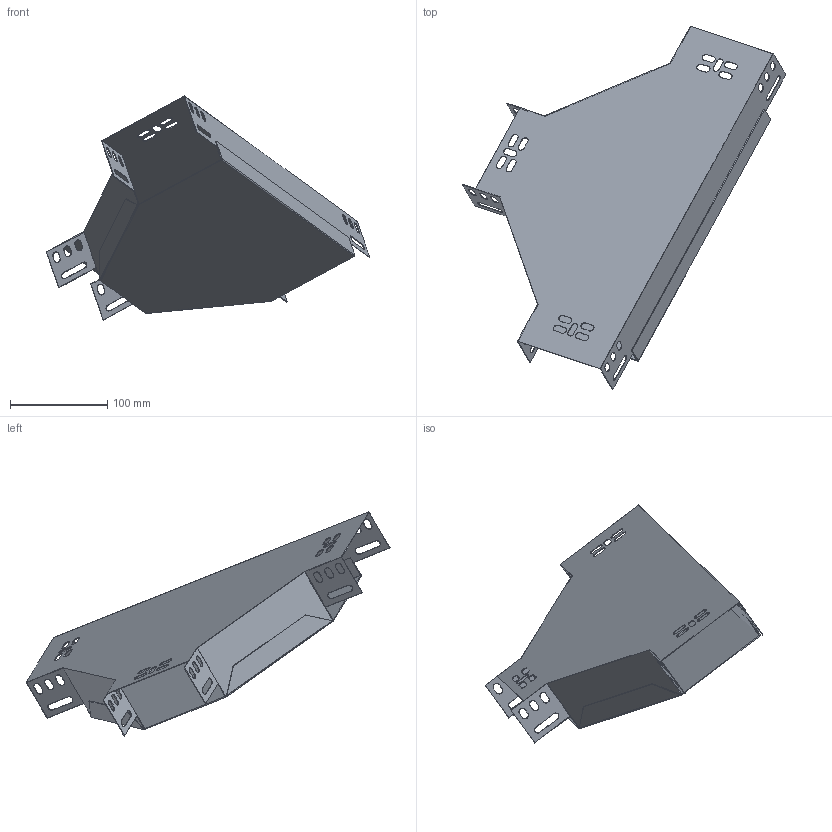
import cadquery as cq
import math


tray_sheet = 0.7
inner_width = 100.0
flare_run = 99.6
arm_length = 45.8
branch_floor_length = 30.0
inner_depth = 60.0
connector_depth = 44.7

wall_depth = inner_depth + tray_sheet
arm_width = inner_width + 2 * tray_sheet
half_arm = arm_width / 2
flare_end = half_arm + flare_run
half_length = flare_end + arm_length
branch_start = arm_width + flare_run
branch_end = branch_start + arm_length

lid_sheet = 1.0
lip_height = 22.0
lid_outer_face = -wall_depth - lid_sheet
flare_length = flare_run * math.sqrt(2)

slot_width = 7.0
floor_slot_length = 15.0
floor_slot_offset = 13.5
floor_slot_rows = (6.2, 18.3)
middle_slot_position = 14.5
wall_slot_centre = 23.8
wall_slot_pitch = 13.5
wall_slot_length = 12.3
wall_slot_depth = 11.5
long_slot_length = 30.0
long_slot_depth = 35.2

turn_x = -28.888
turn_y = 19.252
turn_z = 61.249


def block(x_range, y_range, z_range):
    """Axis-aligned block between the two ends of each range."""
    (x0, x1), (y0, y1), (z0, z1) = x_range, y_range, z_range
    return cq.Workplane("XY").box(x1 - x0, y1 - y0, z1 - z0, centered=False).translate((x0, y0, z0))


def tray_outline():
    """Outer outline of the tee: two arms along X, a branch along Y and two diagonals."""
    right_half = [
        (half_length, 0),
        (half_length, arm_width),
        (flare_end, arm_width),
        (half_arm, branch_start),
        (half_arm, branch_end),
    ]
    left_half = [(-x, y) for x, y in reversed(right_half)]
    return cq.Workplane("XY").polyline(right_half + left_half).close()


def arm_slots():
    """Slot cutters of an arm that starts at the origin and runs along +X."""
    across = [(x, side * floor_slot_offset) for x in floor_slot_rows for side in (-1, 1)]
    in_walls = [(wall_slot_centre + i * wall_slot_pitch, -wall_slot_depth) for i in (-1, 0, 1)]
    floor_plane = cq.Workplane("XY")
    wall_plane = cq.Workplane("XZ")
    floor_cut = 2 * tray_sheet
    crosswise = floor_plane.pushPoints(across).slot2D(floor_slot_length, slot_width, 90)
    slots = crosswise.extrude(floor_cut, both=True)
    middle = floor_plane.center(middle_slot_position, 0).slot2D(floor_slot_length, slot_width)
    slots = slots.union(middle.extrude(floor_cut, both=True))
    short = wall_plane.pushPoints(in_walls).slot2D(wall_slot_length, slot_width, 90)
    slots = slots.union(short.extrude(arm_width, both=True))
    long_slot = wall_plane.center(wall_slot_centre, -long_slot_depth).slot2D(long_slot_length, slot_width)
    return slots.union(long_slot.extrude(arm_width, both=True))


def make_tray():
    body = tray_outline().extrude(-wall_depth)
    hollow = tray_outline().offset2D(-tray_sheet).extrude(-wall_depth).translate((0, 0, -tray_sheet))
    body = body.cut(hollow)

    clear_y = (tray_sheet, arm_width - tray_sheet)
    below_floor = (-wall_depth, -tray_sheet)
    below_connectors = (-wall_depth, -connector_depth)
    for arm_x in ((-half_length, -flare_end), (flare_end, half_length)):
        body = body.cut(block(arm_x, clear_y, below_floor))
        body = body.cut(block(arm_x, (0, arm_width), below_connectors))

    clear_x = (tray_sheet - half_arm, half_arm - tray_sheet)
    body = body.cut(block(clear_x, (branch_start + branch_floor_length, branch_end), (-wall_depth, 0)))
    body = body.cut(block((-half_arm, half_arm), (branch_start, branch_end), below_connectors))

    slots = arm_slots()
    arm_starts = ((0, flare_end, half_arm), (180, -flare_end, half_arm), (90, 0, branch_start))
    for direction, x, y in arm_starts:
        body = body.cut(slots.rotate((0, 0, 0), (0, 0, 1), direction).translate((x, y, 0)))
    return body


def lid_lip(length):
    """Lip along X that lies against a wall at Y = 0, on its -Y side, with a rounded fold."""
    lip_top = lip_height - wall_depth
    profile = (
        cq.Workplane("YZ")
        .moveTo(0, lid_outer_face)
        .radiusArc((-lid_sheet, lid_outer_face + lid_sheet), lid_sheet)
        .lineTo(-lid_sheet, lip_top)
        .lineTo(0, lip_top)
        .close()
    )
    return profile.extrude(length / 2, both=True)


def mitred_lip(length):
    """Lip whose two ends are cut back at 45 degrees towards its free edge."""
    full_height = lip_height + lid_sheet
    half = length / 2
    trapezium = cq.Workplane("XZ").polyline(
        [(-half, 0), (half, 0), (half - full_height, full_height), (full_height - half, full_height)]
    )
    mitre = trapezium.close().extrude(2 * lid_sheet, both=True).translate((0, 0, lid_outer_face))
    return lid_lip(length).intersect(mitre)


def make_lid():
    right_half = [(flare_end, 0), (flare_end, arm_width), (half_arm, branch_start)]
    left_half = [(-x, y) for x, y in reversed(right_half)]
    plate = cq.Workplane("XY").polyline(right_half + left_half).close().extrude(lid_sheet)
    lid = plate.translate((0, 0, lid_outer_face)).union(lid_lip(2 * flare_end))

    flare_lip = mitred_lip(flare_length)
    for side in (-1, 1):
        turned = flare_lip.rotate((0, 0, 0), (0, 0, 1), 180 - 45 * side)
        lid = lid.union(turned.translate((side * (half_arm + flare_run / 2), arm_width + flare_run / 2, 0)))
    return lid


def place(body):
    """Turn a body about X, then Y, then Z into its final attitude."""
    turned = body.rotate((0, 0, 0), (1, 0, 0), turn_x)
    turned = turned.rotate((0, 0, 0), (0, 1, 0), turn_y)
    return turned.rotate((0, 0, 0), (0, 0, 1), turn_z)


tray = place(make_tray())
lid = place(make_lid())

result = cq.Compound.makeCompound([tray.solids().val(), lid.solids().val()])